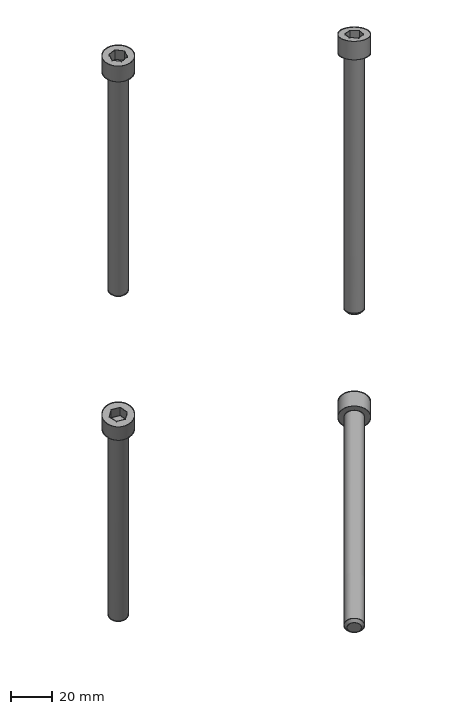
import cadquery as cq
import math

total_length = 150.0
head_diameter = 16.0
head_height = 10.0
shank_diameter = 10.0
thread_length = 32.0
tip_chamfer = 1.5
socket_across_flats = 8.0
socket_depth = 6.0

head_bottom = total_length - head_height


def cylinder(diameter, bottom, top):
    """Round bar on the Z axis between two heights."""
    return cq.Workplane("XY").workplane(offset=bottom).circle(diameter / 2).extrude(top - bottom)


def hex_socket():
    """Hexagonal key recess with two corners on the X axis."""
    across_corners = socket_across_flats / math.cos(math.pi / 6)
    return (
        cq.Workplane("XY")
        .workplane(offset=total_length - socket_depth)
        .polygon(6, across_corners)
        .extrude(socket_depth)
    )


def threaded_end():
    """Plain cylinder standing for the thread, with a chamfered tip."""
    return cylinder(shank_diameter, 0, thread_length).faces("<Z").chamfer(tip_chamfer)


head = cylinder(head_diameter, head_bottom, total_length).cut(hex_socket())
shank = cylinder(shank_diameter, thread_length, head_bottom)

result = head.union(shank, clean=False).union(threaded_end(), clean=False)